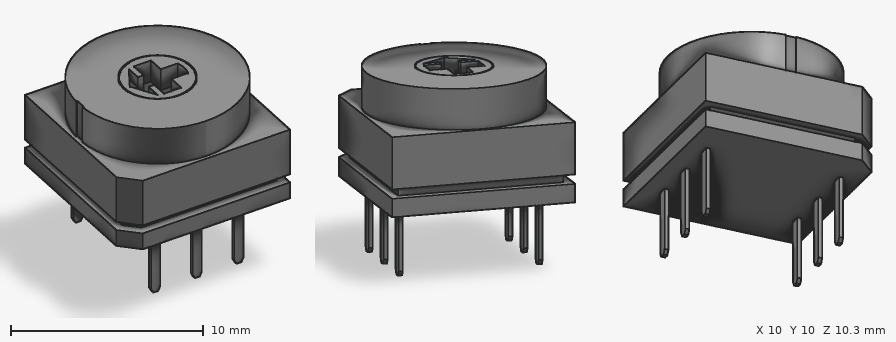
import cadquery as cq
import math

body_side = 10.0
corner_clip = 1.0
base_height = 1.0
groove_height = 0.5
groove_depth = 0.5
body_height = 2.8

dial_diameter = 9.6
dial_height = 2.2
marker_width = 0.62
marker_depth = 0.09
ring_outer_diameter = 4.1
ring_inner_diameter = 4.0
ring_depth = 0.1

cross_arm_width = 1.05
cross_span = 2.99
cross_end_radius = 1.64
cross_depth = 1.32
arrow_tip_distance = 1.69
arrow_half_width = 1.41
arrow_slope = 30.0
arrow_depth = 0.64

overall_height = 10.3
pin_thickness = 0.23
pin_width = 0.56
pin_pitch = 2.54
pins_per_row = 3
row_spacing = 3 * pin_pitch
pin_tip_height = 0.27
pin_tip_inset = 0.13

groove_top = base_height + groove_height
body_top = groove_top + body_height
dial_top = body_top + dial_height
pin_length = overall_height - dial_top


def clipped_square():
    """Square outline with its +X -Y corner clipped at 45 degrees."""
    half = body_side / 2
    return cq.Workplane("XY").polyline(
        [
            (-half, -half),
            (half - corner_clip, -half),
            (half, corner_clip - half),
            (half, half),
            (-half, half),
        ]
    ).close()


def make_housing():
    base = clipped_square().extrude(base_height)
    neck = clipped_square().offset2D(-groove_depth, "intersection").extrude(groove_top)
    body = clipped_square().extrude(body_height).translate((0, 0, groove_top))
    return base.union(neck).union(body)


def make_dial():
    dial = cq.Workplane("XY").workplane(offset=body_top).circle(dial_diameter / 2).extrude(dial_height)
    marker_floor = dial_diameter / 2 - marker_depth
    marker = (
        cq.Workplane("XY")
        .box(marker_width, 2 * marker_depth, dial_height, centered=(True, False, False))
        .translate((0, -marker_floor - 2 * marker_depth, body_top))
    )
    ring = (
        cq.Workplane("XY")
        .workplane(offset=dial_top)
        .circle(ring_outer_diameter / 2)
        .circle(ring_inner_diameter / 2)
        .extrude(-ring_depth)
    )
    return dial.cut(marker).cut(ring)


def make_recess():
    half_arm = cross_arm_width / 2
    tan_slope = math.tan(math.radians(arrow_slope))
    arm_corner_y = math.sqrt(cross_end_radius**2 - half_arm**2)
    shoulder_y = half_arm * tan_slope - arrow_tip_distance
    top = cq.Workplane("XY").workplane(offset=dial_top)
    long_arm = (
        top.moveTo(-half_arm, shoulder_y)
        .lineTo(0, -arrow_tip_distance)
        .lineTo(half_arm, shoulder_y)
        .lineTo(half_arm, arm_corner_y)
        .threePointArc((0, cross_end_radius), (-half_arm, arm_corner_y))
        .close()
        .extrude(-cross_depth)
    )
    cross_arm = top.rect(cross_span, cross_arm_width).extrude(-cross_depth)
    arrow_back_y = arrow_half_width * tan_slope - arrow_tip_distance
    arrow = (
        top.polyline(
            [
                (0, -arrow_tip_distance),
                (arrow_half_width, arrow_back_y),
                (-arrow_half_width, arrow_back_y),
            ]
        )
        .close()
        .extrude(-arrow_depth)
    )
    return long_arm.union(cross_arm).union(arrow)


def make_pin(x, y):
    """Flat pin hanging from the base plate, its two narrow edges tapered at the tip."""
    half = pin_width / 2
    tip_half = half - pin_tip_inset
    taper_start = pin_tip_height - pin_length
    return (
        cq.Workplane("YZ")
        .polyline(
            [
                (-half, 0),
                (-half, taper_start),
                (-tip_half, -pin_length),
                (tip_half, -pin_length),
                (half, taper_start),
                (half, 0),
            ]
        )
        .close()
        .extrude(pin_thickness / 2, both=True)
        .translate((x, y, 0))
    )


result = make_housing().union(make_dial()).cut(make_recess())
for row_x in (-row_spacing / 2, row_spacing / 2):
    for index in range(pins_per_row):
        pin_y = (index - (pins_per_row - 1) / 2) * pin_pitch
        result = result.union(make_pin(row_x, pin_y))